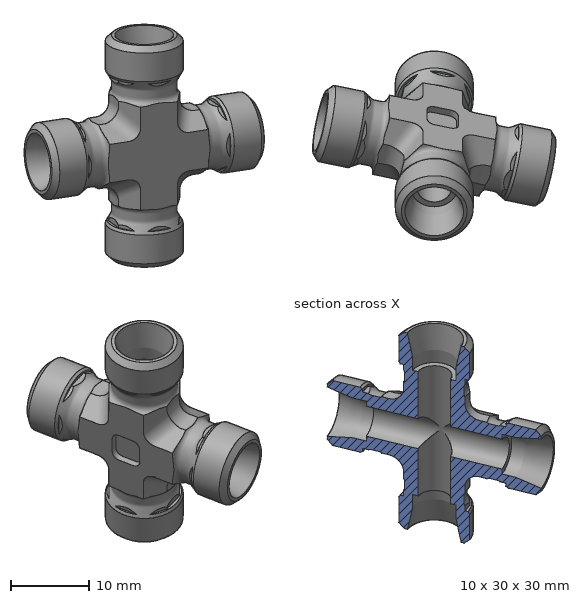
import cadquery as cq
import math

span = 30.0
arm_length = span / 2

across_flats = 9.0
edge_cut_width = 3.0
inner_fillet = 2.0

thread_radius = 10.0 / 2
face_radius = 4.2
lead_length = 0.75
collar_start = 10.0

neck_radius = 4.2
shoulder = 7.0
runout_start = 9.0
runout_angle = 30.0
undercut_fillet = 0.8

bore_diameter = 4.5
tube_diameter = 6.0
mouth_diameter = 7.5
cone_depth = 3.6
tube_depth = 5.5

badge_size = 4.1
badge_corner = 1.02
badge_depth = 0.9

arm_angles = (0, 90, 180, 270)


def turned(shape, angle):
    """Turn a feature of the +Z arm about the X axis onto another arm."""
    return shape.rotate((0, 0, 0), (1, 0, 0), angle)


def revolved(half_profile):
    """Revolve a closed radius-height profile about the Z axis."""
    return half_profile.close().revolve(360, (0, 0, 0), (0, 1, 0))


def lies_between_arms(edge):
    """True for the edges where two arms meet, which lie in the planes Y = Z and Y = -Z."""
    tolerance = 0.0003
    ends = (edge.startPoint(), edge.endPoint())
    return all(abs(abs(end.y) - abs(end.z)) < tolerance for end in ends) and (
        abs(edge.Center().y) > tolerance
    )


def crossed_bars(right_height, left_height):
    """Two crossing bars of trapezoidal section with rounded inner corners.

    The heights are the half heights of the section on the +X and -X flats.
    """
    half_flats = across_flats / 2
    section = [
        (half_flats, right_height),
        (-half_flats, left_height),
        (-half_flats, -left_height),
        (half_flats, -right_height),
    ]
    bar = cq.Workplane("XY").polyline(section).close().extrude(collar_start, both=True)
    cross = bar.union(turned(bar, 90))
    inner_edges = [edge for edge in cross.edges().vals() if lies_between_arms(edge)]
    return cross.newObject(inner_edges).fillet(inner_fillet)


def forged_cross():
    """Cross of hexagonal bars, as the overlap of one cross per pair of opposite faces."""
    slope = math.tan(math.radians(30))
    low_edge = across_flats / 2 * slope
    high_edge = low_edge + across_flats * slope
    cut_height = low_edge + (across_flats - edge_cut_width) / 2 * slope
    right_slanted = crossed_bars(low_edge, high_edge)
    left_slanted = crossed_bars(high_edge, low_edge)
    edge_cut = crossed_bars(cut_height, cut_height)
    return right_slanted.intersect(left_slanted).intersect(edge_cut)


def undercut():
    """Ring of material removed behind the thread of the +Z arm.

    Its runout cone also chamfers the back edge of the collar.
    """
    outside = across_flats
    angle = math.radians(runout_angle)
    lower_centre = (neck_radius + undercut_fillet, shoulder + undercut_fillet)
    lower_middle = (
        lower_centre[0] - undercut_fillet * math.cos(math.radians(45)),
        lower_centre[1] - undercut_fillet * math.sin(math.radians(45)),
    )
    tangent = undercut_fillet * math.tan(angle / 2)
    upper_start = runout_start - tangent
    upper_end = runout_start + tangent * math.cos(angle)
    upper_end_radius = neck_radius + tangent * math.sin(angle)
    upper_middle = (
        neck_radius + undercut_fillet * (1 - math.cos(angle / 2)),
        upper_start + undercut_fillet * math.sin(angle / 2),
    )
    return revolved(
        cq.Workplane("XZ")
        .moveTo(outside, shoulder)
        .lineTo(lower_centre[0], shoulder)
        .threePointArc(lower_middle, (neck_radius, lower_centre[1]))
        .lineTo(neck_radius, upper_start)
        .threePointArc(upper_middle, (upper_end_radius, upper_end))
        .lineTo(outside, runout_start + (outside - neck_radius) / math.tan(angle))
    )


def collar():
    """Threaded collar of the +Z arm, with the lead-in chamfer at its end face."""
    return revolved(
        cq.Workplane("XZ")
        .moveTo(0, collar_start)
        .lineTo(thread_radius, collar_start)
        .lineTo(thread_radius, arm_length - lead_length)
        .lineTo(face_radius, arm_length)
        .lineTo(0, arm_length)
    )


def bore():
    """Stepped bore of the +Z arm: sealing cone, tube socket and flow bore."""
    return revolved(
        cq.Workplane("XZ")
        .moveTo(0, 0)
        .lineTo(bore_diameter / 2, 0)
        .lineTo(bore_diameter / 2, arm_length - tube_depth)
        .lineTo(tube_diameter / 2, arm_length - tube_depth)
        .lineTo(tube_diameter / 2, arm_length - cone_depth)
        .lineTo(mouth_diameter / 2, arm_length)
        .lineTo(0, arm_length)
    )


def badge_pocket():
    """Rounded square pocket in the middle of the -X face."""
    return (
        cq.Workplane("YZ", origin=(-across_flats / 2, 0, 0))
        .rect(badge_size, badge_size)
        .extrude(badge_depth)
        .edges("|X")
        .fillet(badge_corner)
    )


result = forged_cross()
for angle in arm_angles:
    result = result.union(turned(collar(), angle))
for angle in arm_angles:
    result = result.cut(turned(undercut(), angle))
for angle in arm_angles:
    result = result.cut(turned(bore(), angle))
result = result.cut(badge_pocket())